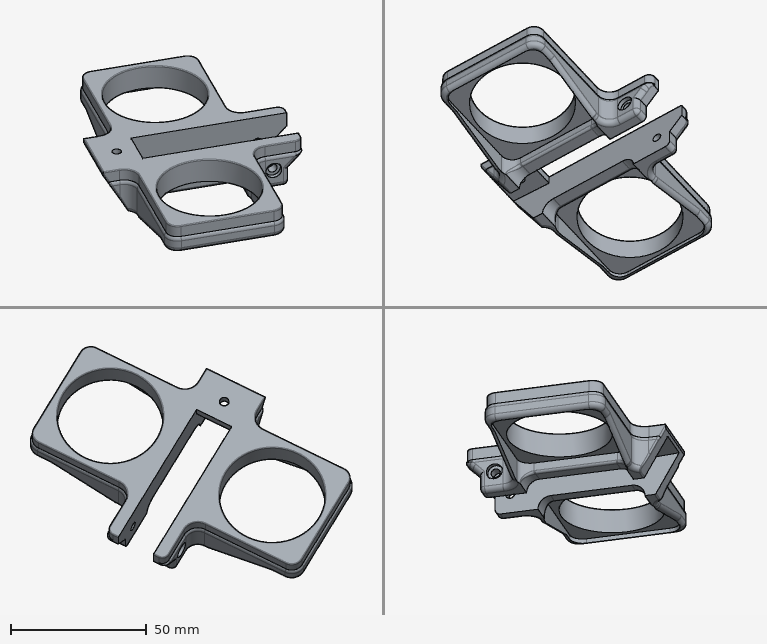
import cadquery as cq

length = 114.0
height = 18.5
front_y = -34.3
back_y = 42.5
plate_depth = 45.9
spine_width = 26.1
corner_radius = 5.0
arm_tip_radius = 3.4

edge_round = 2.0
lower_top = 4.1
band_inset = 0.7
band_height = 5.1
top_round = 0.3

ring_thickness = 11.2
ramp_outer_x = 46.4
ramp_inner_x = 19.6
arm_thickness = 5.7
leg_back_y = 37.0
arm_step = back_y - leg_back_y

nose_flat = 1.7
nose_foot_y = -24.6
nose_round = 0.7
nose_normal = cq.Vector(0, nose_flat - height, front_y - nose_foot_y)

ring_bore = 39.0
ring_x = (length - plate_depth) / 2
pocket_size = 42.2
pocket_ceiling = 9.5
tunnel_width = 41.0
tunnel_ceiling = 13.6
tunnel_corner_radius = 4.9
tunnel_edge_round = 1.0

slot_width = 14.7
slot_end_y = -17.5
bridge_front_thickness = 2.7
bridge_back_thickness = 3.5

screw_diameter = 3.4
bridge_screw_y = -25.3
arm_screw_y = 31.2
arm_screw_depth = 10.8
head_diameter = 6.0
head_depth = 1.7

SIDES = (-1, 1)
tolerance = 0.01
clearance = 1.1


def round_upright(body, x, y, radius):
    """Round the mirrored pair of vertical edges at (+x, y) and (-x, y)."""
    for side in SIDES:
        low = (side * x - tolerance, y - tolerance, -height)
        high = (side * x + tolerance, y + tolerance, height)
        body = body.edges("|Z").edges(cq.selectors.BoxSelector(low, high)).fillet(radius)
    return body


def outline_block(inset, top, bottom):
    """Plate crossed by the spine, between two depths; the spine runs on past both trimmed ends."""
    half_length = length / 2 - inset
    half_depth = plate_depth / 2 - inset
    half_spine = spine_width / 2 - inset
    spine_back = back_y + band_inset - inset
    spine_front = front_y - spine_width
    thickness = bottom - top
    plate = (
        cq.Workplane("XY", origin=(0, 0, -bottom))
        .rect(2 * half_length, 2 * half_depth)
        .extrude(thickness)
    )
    spine = (
        cq.Workplane("XY", origin=(0, (spine_front + spine_back) / 2, -bottom))
        .rect(2 * half_spine, spine_back - spine_front)
        .extrude(thickness)
    )
    block = plate.union(spine)
    for y in (-half_depth, half_depth):
        block = round_upright(block, half_length, y, corner_radius - inset)
        block = round_upright(block, half_spine, y, corner_radius + inset)
    return round_upright(block, half_spine, spine_back, arm_tip_radius - inset)


def side_profile(points):
    """Closed YZ profile extended along X over the whole part."""
    return cq.Workplane("YZ").polyline(points).close().extrude(length, both=True)


def ramp_envelope():
    """Thin at the two ends and full height in the middle."""
    half_length = length / 2
    points = [
        (-half_length, 0),
        (-half_length, -ring_thickness),
        (-ramp_outer_x, -ring_thickness),
        (-ramp_inner_x, -height),
        (ramp_inner_x, -height),
        (ramp_outer_x, -ring_thickness),
        (half_length, -ring_thickness),
        (half_length, 0),
    ]
    return cq.Workplane("XZ").polyline(points).close().extrude(length, both=True)


def arm_envelope():
    """Stepped underside of the two arms; the 45 degree slope runs on past the arm tips."""
    return side_profile([
        (-length, 0),
        (-length, -height),
        (leg_back_y, -height),
        (leg_back_y, -arm_thickness - arm_step),
        (back_y + arm_step, -arm_thickness + arm_step),
        (back_y + arm_step, 0),
    ])


def end_envelope():
    """Sloped front face and flat arm tips."""
    return side_profile([
        (front_y, 0),
        (front_y, -nose_flat),
        (nose_foot_y, -height),
        (back_y, -height),
        (back_y, 0),
    ])


def on_lower_rim(edge):
    """True for an edge where the underside or the legs' back face meets the outer walls."""
    middle = edge.Center()
    box = edge.BoundingBox()
    if box.xlen < tolerance and box.ylen < tolerance:
        return abs(middle.y - leg_back_y) < tolerance
    crosses_ramp = abs(middle.y) < tolerance and abs(middle.x) < length / 2 - tolerance
    crosses_arms = abs(middle.x) < tolerance and middle.z > tolerance - height
    return middle.z < -tolerance and not crosses_ramp and not crosses_arms


def lower_body():
    """Ramped body with its outer edges rounded below and above."""
    body = outline_block(0, 0, height).intersect(ramp_envelope()).intersect(arm_envelope())
    rim = [edge for edge in body.edges().vals() if on_lower_rim(edge)]
    body = body.newObject(rim).fillet(edge_round)
    cap = outline_block(0, lower_top, height).faces(">Z").edges().fillet(edge_round)
    return body.intersect(cap).intersect(end_envelope())


def upper_band():
    """Inset band with a lightly rounded top edge."""
    band = outline_block(band_inset, 0, band_height).intersect(end_envelope())
    return band.faces(">Z").edges().fillet(top_round)


def hollow_underside(body):
    """Cut the tunnel along X and the ring pockets, then round the edges where they meet."""
    tunnel = (
        cq.Workplane("YZ", origin=(0, 0, -height))
        .rect(tunnel_width, 2 * (height - tunnel_ceiling))
        .extrude(length / 2, both=True)
        .edges("|X and >Z")
        .fillet(tunnel_corner_radius)
    )
    pocket = (
        cq.Workplane("XY", origin=(ring_x, 0, -pocket_ceiling))
        .rect(pocket_size, pocket_size)
        .extrude(-height)
        .edges("|Z")
        .fillet(corner_radius)
    )
    body = body.cut(tunnel).cut(pocket).cut(pocket.mirror("YZ"))

    half_pocket = pocket_size / 2
    wall_x = ring_x - half_pocket
    for side in SIDES:
        near_x, far_x = sorted((side * (wall_x - tolerance), side * (wall_x + corner_radius)))
        meeting_edges = cq.selectors.BoxSelector(
            (near_x, -half_pocket, -height + tolerance),
            (far_x, half_pocket, -tunnel_ceiling + tolerance),
        )
        body = body.edges(meeting_edges).fillet(tunnel_edge_round)
    return body


def round_nose(body):
    """Lightly round the sides and foot of the sloped front face."""
    nose = body.faces(cq.selectors.DirectionMinMaxSelector(nose_normal, True))
    below_flat = cq.selectors.BoxSelector(
        (-length, front_y + tolerance, -height - tolerance),
        (length, 0, -nose_flat),
    )
    return nose.edges(below_flat).fillet(nose_round)


def cut_slot(body):
    """Cut the slot between the arms; it runs on below the bridge, whose underside is slanted."""
    below = -height - clearance
    slot = (
        cq.Workplane("YZ")
        .polyline([
            (back_y + clearance, clearance),
            (slot_end_y, clearance),
            (slot_end_y, -bridge_back_thickness),
            (front_y, -bridge_front_thickness),
            (front_y, below),
            (back_y + clearance, below),
        ])
        .close()
        .extrude(slot_width / 2, both=True)
    )
    return body.cut(slot)


def cut_ring_bores(body):
    """Bore both rings and lightly round their top rims."""
    for side in SIDES:
        bore = cq.Workplane("XY").center(side * ring_x, 0).circle(ring_bore / 2).extrude(-height)
        body = body.cut(bore)
        top_rim = cq.selectors.BoxSelector(
            (side * ring_x - tolerance, -ring_bore, -tolerance),
            (side * ring_x + tolerance, ring_bore, tolerance),
        )
        body = body.edges("%CIRCLE").edges(top_rim).fillet(top_round)
    return body


def cut_screw_holes(body):
    """Upright hole in the bridge and a cross hole through the legs, recessed for screw heads."""
    screw_radius = screw_diameter / 2
    bridge_hole = cq.Workplane("XY").center(0, bridge_screw_y).circle(screw_radius).extrude(-height)
    cross = cq.Workplane("YZ").center(arm_screw_y, -arm_screw_depth)
    cross_hole = cross.circle(screw_radius).extrude(spine_width, both=True)
    body = body.cut(bridge_hole).cut(cross_hole)
    for side in SIDES:
        floor_x = side * (spine_width / 2 - head_depth)
        recess = cross.workplane(offset=floor_x).circle(head_diameter / 2)
        body = body.cut(recess.extrude(side * (head_depth + clearance)))
    return body


holder = hollow_underside(lower_body()).union(upper_band())
holder = cut_slot(round_nose(holder))
result = cut_screw_holes(cut_ring_bores(holder))